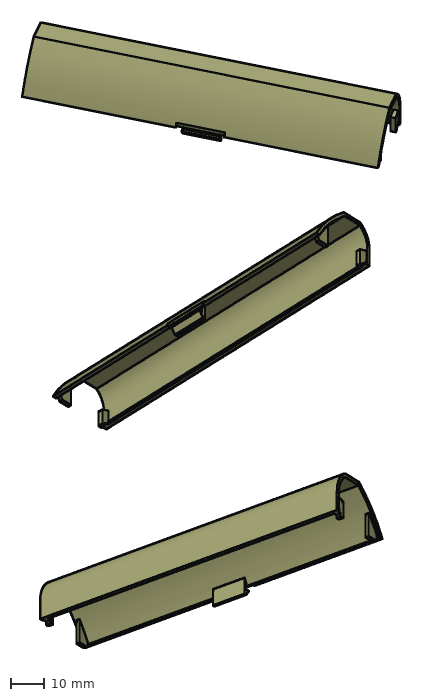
import cadquery as cq
import math


LENGTH = 112.3
DEPTH = 22.71
HEIGHT = 14.4
WALL = 1.05
ROOF = 1.25
BACK_RADIUS = 9.9
BACK_ARC_Z = 6.4
FLAT_FRONT_Y = -11.1
INNER_FLAT_FRONT_Y = -10.8
INNER_RIM_Y = -21.35
FRONT_BULGE = 0.95
INNER_BULGE = 0.75
RIDGE_HEIGHT = 1.0
RIDGE_DEPTH = 0.3

LEG_INSET = 0.35
RIB_INNER_X = 2.0
LEG_FRONT_Y = -3.7
LEG_TOE_Y = -2.45
LEG_TOE_DROP = 1.0
LEG_TOP_BACK_Z = 5.4
LEG_TOP_FRONT_Z = 4.5

GUSSET_INSET = 0.8
GUSSET_BACK_Y = -16.95
GUSSET_FRONT_Y = -21.25
GUSSET_TOE_Y = -20.65
GUSSET_DROP = 1.3
GUSSET_TOP_BACK_Z = 7.4
GUSSET_TOP_FRONT_Z = 1.2

NOTCH_WIDTH = 15.3
NOTCH_FACE_Y = -22.0
NOTCH_CUT_TOP_Z = 2.0
TAB_WIDTH = 11.9
TAB_TOP_Z = 2.2
TAB_BACK_Y = -19.95
TAB_FRONT_Y = -21.15
TAB_TIP_Y = -20.8
TAB_DROP = 3.35
BARB_Y = -22.3
BARB_DROP = 1.35


def extrude_between(outline, x_start, x_end):
    """Extrude a closed YZ wire outline along X from x_start to x_end."""
    return outline.extrude(x_end - x_start).translate((x_start, 0, 0))


def prism(points, x_start, x_end):
    """Straight-sided YZ outline extruded along X."""
    return extrude_between(cq.Workplane("YZ").polyline(points).close(), x_start, x_end)


def back_arc_point(radius, z):
    """Point at height z on the back corner arc of the given radius."""
    return (-BACK_RADIUS + math.sqrt(radius**2 - (z - BACK_ARC_Z) ** 2), z)


def bulge_point(start, end, bulge):
    """Middle of the arc from start to end, raised by bulge off its chord (up and to the front)."""
    dy = end[0] - start[0]
    dz = end[1] - start[1]
    chord = math.hypot(dy, dz)
    mid_y = (start[0] + end[0]) / 2
    mid_z = (start[1] + end[1]) / 2
    return (mid_y + bulge * dz / chord, mid_z - bulge * dy / chord)


def make_shell():
    ceiling = HEIGHT - ROOF
    inner_radius = BACK_RADIUS - WALL
    flat_front = (FLAT_FRONT_Y, HEIGHT)
    front_rim = (-DEPTH, 0)
    inner_rim = (INNER_RIM_Y, 0)
    inner_flat_front = (INNER_FLAT_FRONT_Y, ceiling)
    outline = (
        cq.Workplane("YZ")
        .moveTo(0, 0)
        .lineTo(0, BACK_ARC_Z)
        .threePointArc(
            back_arc_point(BACK_RADIUS, (BACK_ARC_Z + HEIGHT) / 2),
            back_arc_point(BACK_RADIUS, HEIGHT),
        )
        .lineTo(*flat_front)
        .threePointArc(bulge_point(flat_front, front_rim, FRONT_BULGE), front_rim)
        .lineTo(*inner_rim)
        .threePointArc(bulge_point(inner_flat_front, inner_rim, INNER_BULGE), inner_flat_front)
        .lineTo(*back_arc_point(inner_radius, ceiling))
        .threePointArc(
            back_arc_point(inner_radius, (BACK_ARC_Z + ceiling) / 2),
            (-WALL, BACK_ARC_Z),
        )
        .lineTo(-WALL, RIDGE_HEIGHT)
        .lineTo(-WALL - RIDGE_DEPTH, RIDGE_HEIGHT)
        .lineTo(-WALL - RIDGE_DEPTH, 0)
        .close()
    )
    return extrude_between(outline, -LENGTH / 2, LENGTH / 2)


def make_end_ribs():
    """Leg and gusset at the -X end."""
    end = -LENGTH / 2
    leg_back = -WALL / 2
    leg = prism(
        [
            (leg_back, 0),
            (LEG_TOE_Y, 0),
            (LEG_TOE_Y, -LEG_TOE_DROP),
            (LEG_FRONT_Y, -LEG_TOE_DROP),
            (LEG_FRONT_Y, LEG_TOP_FRONT_Z),
            (-WALL, LEG_TOP_BACK_Z),
            (leg_back, LEG_TOP_BACK_Z),
        ],
        end + LEG_INSET,
        end + RIB_INNER_X,
    )
    gusset = prism(
        [
            (GUSSET_BACK_Y, -GUSSET_DROP),
            (GUSSET_TOE_Y, -GUSSET_DROP),
            (GUSSET_FRONT_Y, 0),
            (GUSSET_FRONT_Y, GUSSET_TOP_FRONT_Z),
            (GUSSET_BACK_Y, GUSSET_TOP_BACK_Z),
        ],
        end + GUSSET_INSET,
        end + RIB_INNER_X,
    )
    return leg.union(gusset)


def make_notch_cutter():
    """Cutter that trims the front rim to an upright flat ahead of the tab."""
    return prism(
        [
            (NOTCH_FACE_Y, 0),
            (-DEPTH, 0),
            (-DEPTH, NOTCH_CUT_TOP_Z),
            (NOTCH_FACE_Y, NOTCH_CUT_TOP_Z),
        ],
        -NOTCH_WIDTH / 2,
        NOTCH_WIDTH / 2,
    )


def make_snap_tab():
    """Barbed tab hanging from the inside of the front wall."""
    return prism(
        [
            (TAB_BACK_Y, TAB_TOP_Z),
            (TAB_FRONT_Y, TAB_TOP_Z),
            (TAB_FRONT_Y, -BARB_DROP),
            (BARB_Y, -BARB_DROP),
            (TAB_TIP_Y, -TAB_DROP),
            (TAB_BACK_Y, -TAB_DROP),
        ],
        -TAB_WIDTH / 2,
        TAB_WIDTH / 2,
    )


end_ribs = make_end_ribs()
result = (
    make_shell()
    .cut(make_notch_cutter())
    .union(end_ribs)
    .union(end_ribs.mirror("YZ"))
    .union(make_snap_tab())
)